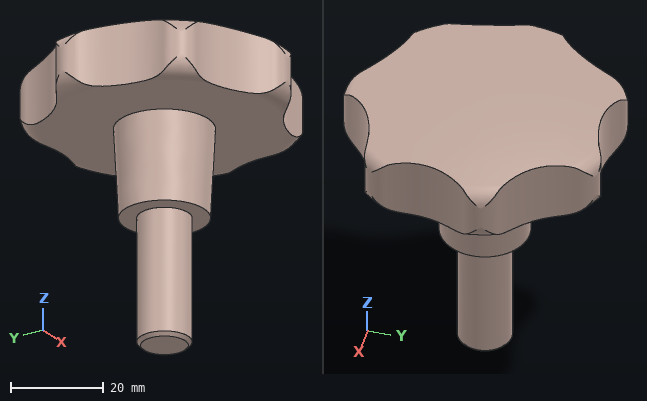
import cadquery as cq
import math

total_height = 70.0
stud_length = 29.95
hub_height = 21.0
head_base = stud_length + hub_height

stud_radius = 6.0
stud_chamfer = 0.85
hub_bottom_radius = 10.0
hub_top_radius = 11.05

lobe_count = 7
head_radius = 31.5
valley_radius = 26.05
lobe_tip_radius = 4.5
edge_radius = 4.5
dome_radius = 77.0


def polar(radius, angle):
    return (radius * math.cos(angle), radius * math.sin(angle))


def make_stem():
    """Chamfered stud with the hub widening towards the head."""
    return (
        cq.Workplane("XZ")
        .lineTo(stud_radius - stud_chamfer, 0)
        .lineTo(stud_radius, stud_chamfer)
        .lineTo(stud_radius, stud_length)
        .lineTo(hub_bottom_radius, stud_length)
        .lineTo(hub_top_radius, head_base)
        .lineTo(0, head_base)
        .close()
        .revolve(360, (0, 0, 0), (0, 1, 0))
    )


def make_domed_blank():
    """Round head with a spherical top and rounded rims tangent to its side."""
    rim_center = head_radius - edge_radius
    lower_center_z = head_base + edge_radius
    dome_center_z = total_height - dome_radius
    dome_angle = math.asin(rim_center / (dome_radius - edge_radius))
    upper_center_z = dome_center_z + (dome_radius - edge_radius) * math.cos(dome_angle)

    def dome_point(angle):
        return (dome_radius * math.sin(angle), dome_center_z + dome_radius * math.cos(angle))

    def rim_point(center_z, angle):
        r, z = polar(edge_radius, angle)
        return (rim_center + r, center_z + z)

    rim_end_angle = math.pi / 2 - dome_angle
    return (
        cq.Workplane("XZ")
        .moveTo(0, head_base)
        .lineTo(rim_center, head_base)
        .threePointArc(rim_point(lower_center_z, -math.pi / 4), (head_radius, lower_center_z))
        .lineTo(head_radius, upper_center_z)
        .threePointArc(rim_point(upper_center_z, rim_end_angle / 2), dome_point(dome_angle))
        .threePointArc(dome_point(dome_angle / 2), (0, total_height))
        .close()
        .revolve(360, (0, 0, 0), (0, 1, 0))
    )


def make_star_prism():
    """Seven round lobe tips joined by tangent concave valleys, one lobe towards -Y."""
    half_pitch = math.pi / lobe_count
    tip_center = head_radius - lobe_tip_radius
    axial = tip_center * math.cos(half_pitch)
    valley_curve = (
        (valley_radius**2 + tip_center**2 - 2 * valley_radius * axial - lobe_tip_radius**2)
        / (2 * (lobe_tip_radius + axial - valley_radius))
    )
    valley_center = valley_radius + valley_curve

    valley_x, valley_y = polar(valley_center, half_pitch)
    tangent_angle = math.atan2(valley_y, valley_x - tip_center)
    offset_x, offset_y = polar(lobe_tip_radius, tangent_angle)
    joint_radius = math.hypot(tip_center + offset_x, offset_y)
    joint_angle = math.atan2(offset_y, tip_center + offset_x)

    first_lobe = -math.pi / 2
    outline = cq.Workplane("XY").workplane(offset=head_base)
    outline = outline.moveTo(*polar(joint_radius, first_lobe - joint_angle))
    for i in range(lobe_count):
        lobe = first_lobe + 2 * half_pitch * i
        next_lobe = lobe + 2 * half_pitch
        outline = outline.threePointArc(
            polar(head_radius, lobe), polar(joint_radius, lobe + joint_angle)
        )
        outline = outline.threePointArc(
            polar(valley_radius, lobe + half_pitch), polar(joint_radius, next_lobe - joint_angle)
        )
    return outline.close().extrude(total_height - head_base)


head = make_domed_blank().intersect(make_star_prism())
result = head.union(make_stem())